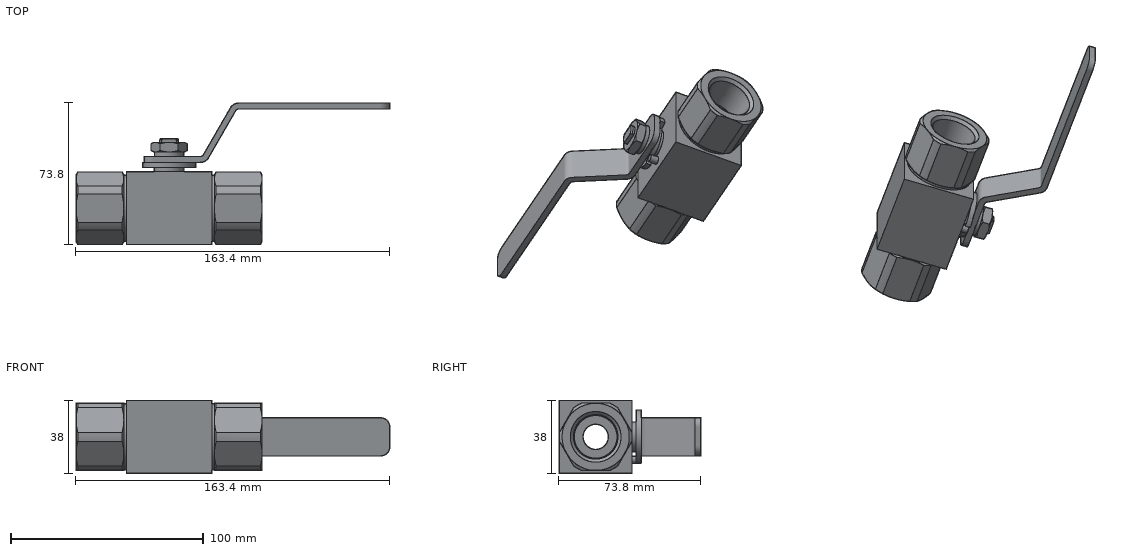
import cadquery as cq
import math

OVERALL_LENGTH = 163.4
OVERALL_DEPTH = 73.8
VALVE_LENGTH = 96.8

BLOCK_LENGTH = 44.5
BLOCK_SIDE = 38.0
STEM_FACE_Y = BLOCK_SIDE / 2

FITTING_LENGTH = 24.8
FITTING_ACROSS_FLATS = 35.0
FITTING_TURNED_RADIUS = 19.0
HEX_CHAMFER_ANGLE = math.radians(30)
NECK_RADIUS = 17.3

PASSAGE_RADIUS = 6.5
PORT_RADIUS = 11.6
PORT_END_RADIUS = 11.1
PORT_MOUTH_RADIUS = 13.2
PORT_DEPTH = 18.0

PIN_RADIUS = 2.0
PIN_LENGTH = 4.3
PIN_ORBIT = 12.0

COLLAR_RADIUS = 7.8
COLLAR_HEIGHT = 2.1
DISC_RADIUS = 14.0
DISC_THICKNESS = 2.7
DISC_CUT_RADIUS = PIN_ORBIT - PIN_RADIUS
DISC_CUT_MARGIN = math.radians(11)
WASHER_RADIUS = 7.7
WASHER_THICKNESS = 2.3
NUT_ACROSS_FLATS = 16.4
NUT_HEIGHT = 5.0
STEM_RADIUS = 5.0
STEM_PROTRUSION = 2.0
STEM_ACROSS_FLATS = 6.4
STEM_CHAMFER = 0.45
STEM_CHAMFER_HEIGHT = 0.9

LEVER_THICKNESS = 3.2
LEVER_WIDTH = 20.0
LEVER_START_X = -13.0
LEVER_END_X = OVERALL_LENGTH - VALVE_LENGTH / 2
LEVER_TOP_Y = OVERALL_DEPTH - BLOCK_SIDE / 2
LEVER_BEND_X = 17.3
LEVER_BEND_ANGLE = math.radians(60)
LEVER_INNER_BEND_RADIUS = 1.9
LEVER_CORNER_RADIUS = 5.0

DISC_Y = STEM_FACE_Y + COLLAR_HEIGHT
LEVER_Y = DISC_Y + DISC_THICKNESS
WASHER_Y = LEVER_Y + LEVER_THICKNESS
NUT_Y = WASHER_Y + WASHER_THICKNESS
NUT_TOP_Y = NUT_Y + NUT_HEIGHT
STEM_TOP_Y = NUT_TOP_Y + STEM_PROTRUSION


def stem_plane(y):
    """Workplane facing +Y at height y; its local x is Z and its local y is X."""
    return cq.Workplane("ZX", origin=(0, y, 0))


def stem_cylinder(radius, y, height):
    return stem_plane(y).circle(radius).extrude(height)


def chamfered_hex(plane, across_flats, turned_radius, length):
    """Hexagonal prism whose corners are turned down and chamfered at both ends."""
    corner_diameter = across_flats / math.cos(math.pi / 6)
    prism = (
        cq.Workplane(plane)
        .polygon(6, corner_diameter)
        .extrude(length)
    )
    flat_radius = across_flats / 2
    chamfer_depth = (turned_radius - flat_radius) * math.tan(HEX_CHAMFER_ANGLE)
    envelope = (
        cq.Workplane(plane)
        .circle(turned_radius)
        .extrude(length)
        .edges("%CIRCLE")
        .chamfer(chamfer_depth, turned_radius - flat_radius)
    )
    return prism.intersect(envelope)


def end_fitting(side):
    """Fitting on the -X (side = -1) or +X (side = 1) end of the block."""
    outer_x = side * VALVE_LENGTH / 2
    plane = cq.Plane(origin=(outer_x, 0, 0), xDir=(0, 1, 0), normal=(-side, 0, 0))
    fitting = chamfered_hex(
        plane, FITTING_ACROSS_FLATS, FITTING_TURNED_RADIUS, FITTING_LENGTH
    )
    neck_length = (VALVE_LENGTH - BLOCK_LENGTH) / 2
    neck = cq.Workplane(plane).circle(NECK_RADIUS).extrude(neck_length)
    return fitting.union(neck)


def port(side):
    """Slightly tapered port of a fitting, with a 45 degree mouth chamfer."""
    outer_x = side * VALVE_LENGTH / 2
    mouth_depth = PORT_MOUTH_RADIUS - PORT_RADIUS
    return (
        cq.Workplane("XY")
        .moveTo(outer_x, 0)
        .lineTo(outer_x, PORT_MOUTH_RADIUS)
        .lineTo(outer_x - side * mouth_depth, PORT_RADIUS)
        .lineTo(outer_x - side * PORT_DEPTH, PORT_END_RADIUS)
        .lineTo(outer_x - side * PORT_DEPTH, 0)
        .close()
        .revolve(360, (0, 0, 0), (1, 0, 0))
    )


def valve_body():
    body = cq.Workplane("XY").box(BLOCK_LENGTH, BLOCK_SIDE, BLOCK_SIDE)
    for side in (-1, 1):
        body = body.union(end_fitting(side))
    for side in (-1, 1):
        body = body.cut(port(side))
    passage = cq.Workplane("YZ").circle(PASSAGE_RADIUS).extrude(VALVE_LENGTH / 2, both=True)
    pin = stem_cylinder(PIN_RADIUS, STEM_FACE_Y, PIN_LENGTH).translate((0, 0, -PIN_ORBIT))
    return body.cut(passage).union(pin)


def stop_disc():
    """Disc with a quarter-turn cut, from -X to -Z, in which the stop pin travels."""
    reach = 2 * DISC_RADIUS
    start = -DISC_CUT_MARGIN
    end = math.pi / 2 + DISC_CUT_MARGIN
    sector = [
        (-reach * math.sin(angle), -reach * math.cos(angle))
        for angle in (start, (start + end) / 2, end)
    ]
    cut = stem_plane(DISC_Y).polyline([(0, 0)] + sector).close().extrude(DISC_THICKNESS)
    disc = stem_cylinder(DISC_RADIUS, DISC_Y, DISC_THICKNESS).cut(cut)
    return disc.union(stem_cylinder(DISC_CUT_RADIUS, DISC_Y, DISC_THICKNESS))


def stem_end():
    """Threaded stem end with a conical lead-in and two flats facing +Z and -Z."""
    height = STEM_TOP_Y - LEVER_Y
    stem = (
        stem_cylinder(STEM_RADIUS, LEVER_Y, height)
        .faces(">Y")
        .chamfer(STEM_CHAMFER_HEIGHT, STEM_CHAMFER)
    )
    flats = stem_plane(LEVER_Y).rect(STEM_ACROSS_FLATS, 2 * STEM_RADIUS).extrude(height)
    return stem.intersect(flats)


def nut():
    plane = cq.Plane(origin=(0, NUT_Y, 0), xDir=(1, 0, 0), normal=(0, 1, 0))
    turned_radius = NUT_ACROSS_FLATS / 2 / math.cos(math.pi / 6)
    return chamfered_hex(plane, NUT_ACROSS_FLATS, turned_radius, NUT_HEIGHT)


def lever_strip():
    """Strip bent up at LEVER_BEND_X and bent level again, with concentric bend radii."""
    low_top = LEVER_Y + LEVER_THICKNESS
    high_bottom = LEVER_TOP_Y - LEVER_THICKNESS
    corner_shift = LEVER_THICKNESS * math.tan(LEVER_BEND_ANGLE / 2)
    slope_run = (LEVER_TOP_Y - low_top) / math.tan(LEVER_BEND_ANGLE)
    low_inner = (LEVER_BEND_X, low_top)
    low_outer = (LEVER_BEND_X + corner_shift, LEVER_Y)
    high_outer = (LEVER_BEND_X + slope_run, LEVER_TOP_Y)
    high_inner = (high_outer[0] + corner_shift, high_bottom)
    outline = [
        (LEVER_START_X, LEVER_Y),
        low_outer,
        high_inner,
        (LEVER_END_X, high_bottom),
        (LEVER_END_X, LEVER_TOP_Y),
        high_outer,
        low_inner,
        (LEVER_START_X, low_top),
    ]
    strip = cq.Workplane("XY").polyline(outline).close().extrude(LEVER_WIDTH / 2, both=True)
    strip = strip.edges("|Y").fillet(LEVER_CORNER_RADIUS)
    outer_radius = LEVER_INNER_BEND_RADIUS + LEVER_THICKNESS
    for corners, radius in (
        ((low_inner, high_inner), LEVER_INNER_BEND_RADIUS),
        ((low_outer, high_outer), outer_radius),
    ):
        for x, y in corners:
            strip = strip.edges(cq.NearestToPointSelector((x, y, 0))).fillet(radius)
    return strip


def lever_assembly():
    """Lever with its collar, stop disc, washer, nut and stem end as one turning body."""
    return (
        stem_cylinder(COLLAR_RADIUS, STEM_FACE_Y, COLLAR_HEIGHT)
        .union(stop_disc())
        .union(lever_strip())
        .union(stem_cylinder(WASHER_RADIUS, WASHER_Y, WASHER_THICKNESS))
        .union(nut())
        .union(stem_end())
    )


valve = valve_body()
lever = lever_assembly()
result = cq.Compound.makeCompound([valve.val(), lever.val()])